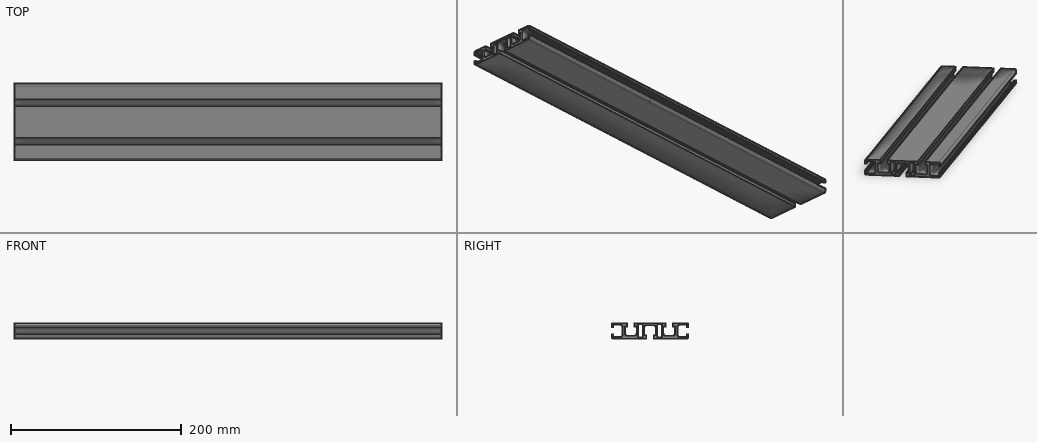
import cadquery as cq

length = 500.0
width = 90.0
height = 18.5

corner_radius = 2.5

slot_opening = 8.4
top_slot_offset = width / 4
face_cavity_width = 13.5
face_lip = 4.25
top_slot_depth = 14.75
bottom_slot_depth = 15.75
side_cavity_width = 14.0
side_lip = 2.2
side_slot_depth = 12.75

channel_offset = top_slot_offset / 2
channel_width = 5.5
channel_roof_thickness = 1.65
channel_floor_thickness = 1.9

half_width = width / 2
half_height = height / 2


def bar(bar_width, z_bottom, z_top):
    """Full-length rectangular bar centred on the X axis, between two heights."""
    return (
        cq.Workplane("XY")
        .workplane(offset=z_bottom)
        .rect(length, bar_width)
        .extrude(z_top - z_bottom)
    )


def t_slot(cavity_width, lip, depth):
    """Full-length T-slot cutter: mouth facing +Z at Z = 0, rounded corners at the far end."""
    opening = bar(slot_opening, -lip, 0)
    cavity = bar(cavity_width, -depth, -lip).faces("<Z").edges("|X").fillet(corner_radius)
    return opening.union(cavity)


def turned(cutter, angle):
    """Cutter turned about the X axis; positive angles tip +Z toward -Y."""
    return cutter.rotate((0, 0, 0), (1, 0, 0), angle)


def top_slot(side):
    slot = t_slot(face_cavity_width, face_lip, top_slot_depth)
    return slot.translate((0, side * top_slot_offset, half_height))


def side_slot(side):
    slot = turned(t_slot(side_cavity_width, side_lip, side_slot_depth), -90 * side)
    return slot.translate((0, side * half_width, 0))


def bottom_slot():
    slot = turned(t_slot(face_cavity_width, face_lip, bottom_slot_depth), 180)
    return slot.translate((0, 0, -half_height))


def channel(side):
    hollow = bar(
        channel_width,
        channel_floor_thickness - half_height,
        half_height - channel_roof_thickness,
    )
    return hollow.translate((0, side * channel_offset, 0))


profile = bar(width, -half_height, half_height).edges("|X").fillet(corner_radius)
profile = profile.cut(bottom_slot())
for side in (-1, 1):
    profile = profile.cut(top_slot(side))
    profile = profile.cut(side_slot(side))
    profile = profile.cut(channel(side))

result = profile